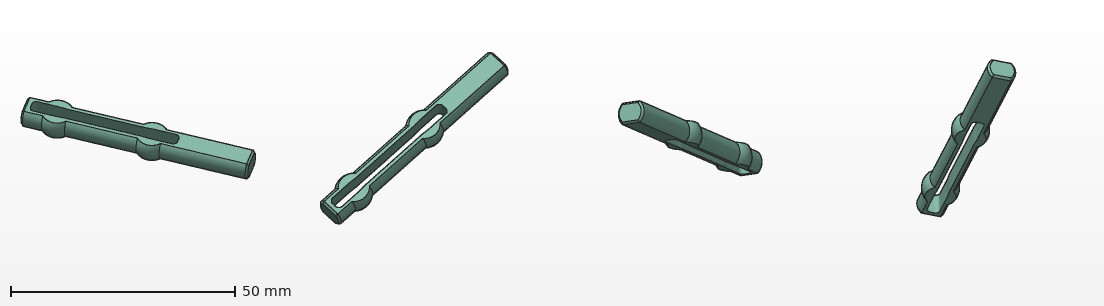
import cadquery as cq

length = 53.1
rod_diameter = 6.65
thickness = 5.0
end_chamfer = 0.5

bulge_diameter = 8.55
bulge_spacing = 22.15

slot_start = 1.5
slot_length = 34.4
slot_end_width = 3.0
slot_middle_width = 2.7
slot_taper_length = 2.0
slot_corner_radius = 1.0
slot_center = slot_start + slot_length / 2


def flat_sided(body):
    """Keep only the part of the body between the two parallel flats."""
    slab = cq.Workplane("XY").box(2 * length, 2 * bulge_diameter, thickness)
    return body.intersect(slab)


def make_rod():
    rod = cq.Workplane("YZ").circle(rod_diameter / 2).extrude(length)
    return flat_sided(rod).faces("<X or >X").chamfer(end_chamfer)


def make_bulge(x):
    sphere = cq.Workplane("XY").sphere(bulge_diameter / 2).translate((x, 0, 0))
    return flat_sided(sphere)


def make_slot():
    """Cutter with round-cornered wide ends and a tapered transition to the middle."""
    half_length = slot_length / 2
    taper_start = bulge_spacing / 2
    taper_end = taper_start - slot_taper_length
    end_y = slot_end_width / 2
    middle_y = slot_middle_width / 2
    upper_wall = [
        (-half_length, end_y),
        (-taper_start, end_y),
        (-taper_end, middle_y),
        (taper_end, middle_y),
        (taper_start, end_y),
        (half_length, end_y),
    ]
    lower_wall = [(x, -y) for x, y in reversed(upper_wall)]
    outline = cq.Workplane("XY").polyline(upper_wall + lower_wall).close()
    cutter = outline.extrude(thickness / 2, both=True)
    cutter = cutter.edges("|Z and (<X or >X)").fillet(slot_corner_radius)
    return cutter.translate((slot_center, 0, 0))


result = make_rod()
for side in (-1, 1):
    result = result.union(make_bulge(slot_center + side * bulge_spacing / 2))
result = result.cut(make_slot())